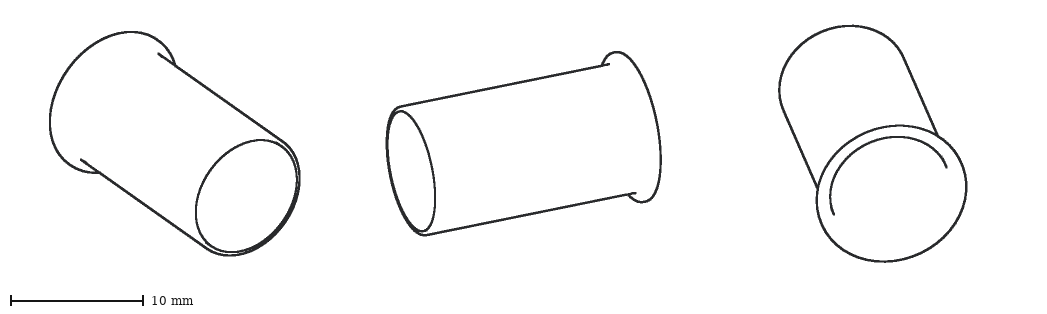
import cadquery as cq
import math

length = 18.0
flange_diameter = 11.5
body_diameter = 9.9
wall = 0.35
flare_outer_radius = 0.5
flange_edge_radius = 0.1
end_edge_radius = 0.2

flange_radius = flange_diameter / 2
body_radius = body_diameter / 2
bore_radius = body_radius - wall
flare_inner_radius = flare_outer_radius + wall

bend_x = flare_inner_radius
bend_r = body_radius + flare_outer_radius


def bend_midpoint(radius):
    """Middle point of a flare bend of the given radius."""
    offset = radius * math.cos(math.pi / 4)
    return (bend_x - offset, bend_r - offset)


def make_sleeve():
    """Constant-thickness flared tube, revolved about X."""
    profile = (
        cq.Workplane("XY")
        .moveTo(length, bore_radius)
        .lineTo(bend_x, bore_radius)
        .threePointArc(bend_midpoint(flare_inner_radius), (0, bend_r))
        .lineTo(0, flange_radius)
        .lineTo(wall, flange_radius)
        .lineTo(wall, bend_r)
        .threePointArc(bend_midpoint(flare_outer_radius), (bend_x, body_radius))
        .lineTo(length, body_radius)
        .close()
    )
    return profile.revolve(360, (0, 0, 0), (1, 0, 0))


def round_flange_rim(part):
    """Round both edges of the flange rim, the only edges of the largest radius."""
    circles = part.edges("%CIRCLE")
    return circles.edges(cq.selectors.RadiusNthSelector(-1)).fillet(flange_edge_radius)


def round_plain_end(part):
    """Round the outer edge of the plain end."""
    end_edges = part.faces(">X").edges("%CIRCLE")
    return end_edges.edges(cq.selectors.RadiusNthSelector(-1)).fillet(end_edge_radius)


result = round_plain_end(round_flange_rim(make_sleeve()))